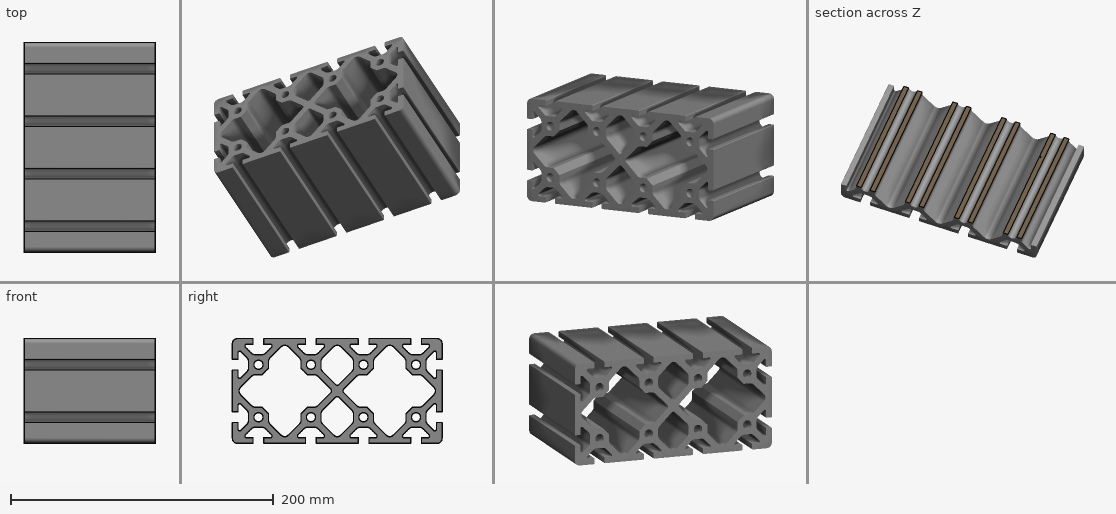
import cadquery as cq
import math

length = 100.0
pitch = 40.0
columns = 4
rows = 2
width = columns * pitch
height = rows * pitch
corner_radius = 4.0

bore_diameter = 6.8
core_half = 7.7
core_chamfer = 5.0

mouth_half = 4.0
lip_thickness = 4.5
lip_radius = 0.5
clearance = 1.0
slot_half = 10.25
slot_corner_radius = 1.0
slot_depth = pitch / 2 - core_half
floor_half = 4.2
floor_radius = 4.0

web_offset = 3.6
outer_tip_radius = 4.0
hub_tip_radius = 2.0
web_root_radius = 4.0


def rounded_prism(corners):
    """Prism along the full length; corners are (y, z, radius), radius 0 is sharp."""
    stretches = []
    following = corners[1:] + corners[:1]
    previous = corners[-1:] + corners[:-1]
    for before, (y, z, radius), after in zip(previous, corners, following):
        if radius == 0:
            stretches.append([(y, z)])
            continue
        corner = cq.Vector(y, z)
        back = (cq.Vector(*before[:2]) - corner).normalized()
        ahead = (cq.Vector(*after[:2]) - corner).normalized()
        half_angle = back.getAngle(ahead) / 2
        tangent_length = radius / math.tan(half_angle)
        arc_distance = radius / math.sin(half_angle) - radius
        arc = [
            corner + back * tangent_length,
            corner + (back + ahead).normalized() * arc_distance,
            corner + ahead * tangent_length,
        ]
        stretches.append([(point.x, point.y) for point in arc])

    outline = cq.Workplane("YZ").moveTo(*stretches[-1][-1])
    for stretch in stretches:
        outline = outline.lineTo(*stretch[0])
        if len(stretch) > 1:
            outline = outline.threePointArc(*stretch[1:])
    return outline.close().extrude(length / 2, both=True)


def mirrored(half):
    """Close a right-hand half outline, listed upwards, with its reflection across the Z axis."""
    return half + [(-y, z, radius) for y, z, radius in reversed(half)]


def t_slot():
    """Slot opening upwards, with its mouth on the plane Z = 0."""
    lip_end = mouth_half + 2 * lip_radius
    flank_end = slot_depth - (slot_half - floor_half)
    return rounded_prism(mirrored([
        (floor_half, -slot_depth, floor_radius),
        (slot_half, -flank_end, slot_corner_radius),
        (slot_half, -lip_thickness, slot_corner_radius),
        (mouth_half, -lip_thickness, 0),
        (mouth_half, 0, lip_radius),
        (lip_end, 0, 0),
        (lip_end, clearance, 0),
    ]))


def side_cavity():
    """Large cavity around the meeting point of four cells; its hub tip points to +Y."""
    reach = pitch - web_offset
    wall = pitch / 2 - core_half
    root_y = reach - wall
    step = wall + core_chamfer
    upper = [
        (reach, 0, hub_tip_radius),
        (root_y, wall, web_root_radius),
        (step, wall, 0),
        (wall, step, 0),
        (wall, root_y, web_root_radius),
        (0, reach, outer_tip_radius),
        (-wall, root_y, web_root_radius),
        (-wall, step, 0),
        (-step, wall, 0),
        (-root_y, wall, web_root_radius),
        (-reach, 0, outer_tip_radius),
    ]
    lower = [(y, -z, radius) for y, z, radius in reversed(upper[1:-1])]
    return rounded_prism(upper + lower)


def middle_cavity():
    """Small cavity between two neighbouring cells; its hub tip points to -Z."""
    reach = pitch / 2 - web_offset
    wall = pitch / 2 - core_half
    root_z = reach - wall
    return rounded_prism([
        (0, -reach, hub_tip_radius),
        (wall, -root_z, web_root_radius),
        (wall, root_z, web_root_radius),
        (0, reach, outer_tip_radius),
        (-wall, root_z, web_root_radius),
        (-wall, -root_z, web_root_radius),
    ])


column_centres = [(i - (columns - 1) / 2) * pitch for i in range(columns)]
row_centres = [(i - (rows - 1) / 2) * pitch for i in range(rows)]

result = cq.Workplane("XY").box(length, width, height).edges("|X").fillet(corner_radius)

for cavity in (side_cavity().translate((0, -pitch, 0)), middle_cavity().translate((0, 0, pitch / 2))):
    result = result.cut(cavity)
    result = result.cut(cavity.rotate((0, 0, 0), (1, 0, 0), 180))

for y in column_centres:
    slot = t_slot().translate((0, y, height / 2))
    result = result.cut(slot).cut(slot.mirror("XY"))

for z in row_centres:
    slot = t_slot().rotate((0, 0, 0), (1, 0, 0), 90).translate((0, -width / 2, z))
    result = result.cut(slot).cut(slot.mirror("XZ"))

bore_centres = [(y, z) for y in column_centres for z in row_centres]
bores = cq.Workplane("YZ").pushPoints(bore_centres).circle(bore_diameter / 2).extrude(length / 2, both=True)
result = result.cut(bores)